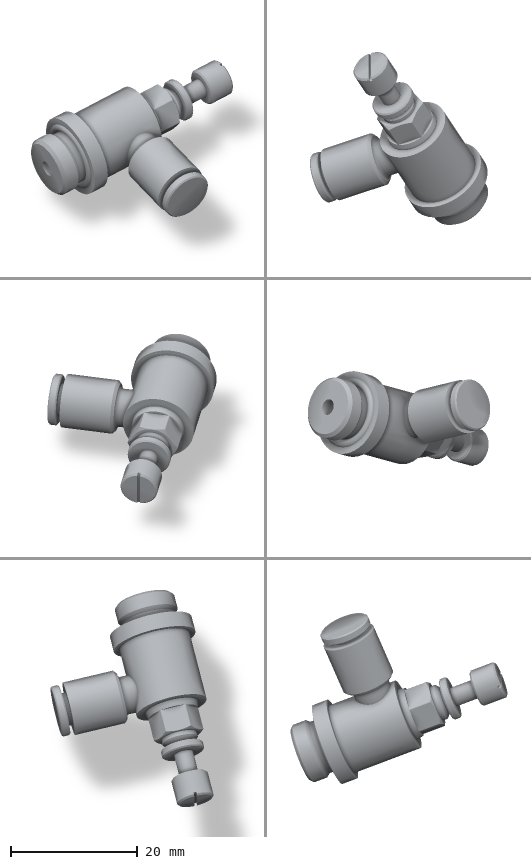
import cadquery as cq
import math


thread_radius = 4.85
thread_neck_radius = 4.33
thread_chamfer = thread_radius - thread_neck_radius
thread_top = 2.63
thread_neck_start = 3.25
bore_radius = 1.25

flange_bottom = 4.57
flange_top = 7.05
flange_radius = 6.65
seal_outer_radius = 5.6
seal_height = 0.4

body_radius = 5.7
body_top = 18.25
collar_radius = 4.23
collar_rim_height = 0.2
collar_top_radius = 4.02
hex_bottom = 19.3

hex_top = 23.2
hex_across_flats = 7.02
hex_corner_radius = 4.02
hex_turn = 0.8
hex_bevel_radius = 3.48
hex_bevel_angle = 30

shoulder_radius = 2.85
shoulder_top = 23.87
cone_top = 24.52
cone_top_radius = 2.25
neck_radius = 1.98

washer_bottom = 24.82
washer_top = 26.05
washer_radius = 3.4
washer_chamfer = 0.2
stem_radius = 1.55
knob_bottom = 29.85
knob_top = 34.1
knob_radius = 2.95
knob_chamfer = 0.27

slot_width = 0.48
slot_depth = 0.55

port_height = 14.55
port_neck_radius = 3.05
port_fillet = 0.5
port_start = 7.2
port_chamfer = 0.48
port_radius = 4.25
port_end = 15.8
sleeve_neck_radius = 2.63
sleeve_start = 16.5
sleeve_end = 17.85
sleeve_radius = 4.05
sleeve_chamfer = 0.2


def cylinder(radius, start, end):
    """Cylinder on the main axis between two heights."""
    return cq.Workplane("XZ", origin=(0, start, 0)).circle(radius).extrude(start - end)


def turned(profile):
    """Solid turned about the main axis."""
    return profile.close().revolve(360, (0, 0, 0), (0, 1, 0))


def threaded_end():
    seal_mid_radius = (thread_neck_radius + seal_outer_radius) / 2
    profile = (
        cq.Workplane("XY")
        .lineTo(thread_radius - thread_chamfer, 0)
        .lineTo(thread_radius, thread_chamfer)
        .lineTo(thread_radius, thread_top)
        .lineTo(thread_neck_radius, thread_neck_start)
        .lineTo(thread_neck_radius, flange_bottom)
        .threePointArc((seal_mid_radius, flange_bottom - seal_height), (seal_outer_radius, flange_bottom))
        .lineTo(flange_radius, flange_bottom)
        .lineTo(flange_radius, flange_top)
        .lineTo(0, flange_top)
    )
    return turned(profile)


def body():
    profile = (
        cq.Workplane("XY")
        .moveTo(0, flange_top)
        .lineTo(body_radius, flange_top)
        .lineTo(body_radius, body_top)
        .lineTo(collar_radius, body_top)
        .lineTo(collar_radius, body_top + collar_rim_height)
        .lineTo(collar_top_radius, hex_bottom)
        .lineTo(0, hex_bottom)
    )
    return turned(profile)


def hexagon():
    corner_diameter = hex_across_flats / math.cos(math.radians(30))
    prism = (
        cq.Workplane("XZ", origin=(0, hex_bottom, 0))
        .polygon(6, corner_diameter)
        .extrude(hex_bottom - hex_top)
        .rotate((0, 0, 0), (0, 1, 0), hex_turn)
    )
    bevel_drop = (hex_corner_radius - hex_bevel_radius) * math.tan(math.radians(hex_bevel_angle))
    envelope = (
        cq.Workplane("XY")
        .moveTo(0, hex_bottom)
        .lineTo(hex_corner_radius, hex_bottom)
        .lineTo(hex_corner_radius, hex_top - bevel_drop)
        .lineTo(hex_bevel_radius, hex_top)
        .lineTo(0, hex_top)
    )
    return prism.intersect(turned(envelope))


def neck():
    profile = (
        cq.Workplane("XY")
        .moveTo(0, hex_top)
        .lineTo(shoulder_radius, hex_top)
        .lineTo(shoulder_radius, shoulder_top)
        .lineTo(cone_top_radius, cone_top)
        .lineTo(neck_radius, cone_top)
        .lineTo(neck_radius, washer_bottom)
        .lineTo(0, washer_bottom)
    )
    return turned(profile)


def knob():
    head = cylinder(knob_radius, knob_bottom, knob_top).edges().chamfer(knob_chamfer)
    slot_length = 2 * knob_radius
    slot = cq.Workplane("XY", origin=(0, knob_top, 0)).box(slot_width, 2 * slot_depth, slot_length)
    return head.cut(slot)


def side_port():
    fillet_center_offset = port_fillet * (1 - math.sqrt(0.5))
    fillet_start = port_start - port_fillet
    profile = (
        cq.Workplane("XY", origin=(0, port_height, 0))
        .lineTo(0, port_neck_radius)
        .lineTo(fillet_start, port_neck_radius)
        .threePointArc(
            (port_start - fillet_center_offset, port_neck_radius + fillet_center_offset),
            (port_start, port_neck_radius + port_fillet),
        )
        .lineTo(port_start, port_radius - port_chamfer)
        .lineTo(port_start + port_chamfer, port_radius)
        .lineTo(port_end, port_radius)
        .lineTo(port_end, sleeve_neck_radius)
        .lineTo(sleeve_start, sleeve_neck_radius)
        .lineTo(sleeve_start, sleeve_radius - sleeve_chamfer)
        .lineTo(sleeve_start + sleeve_chamfer, sleeve_radius)
        .lineTo(sleeve_end - sleeve_chamfer, sleeve_radius)
        .lineTo(sleeve_end, sleeve_radius - sleeve_chamfer)
        .lineTo(sleeve_end, 0)
        .close()
    )
    return profile.revolve(360, (0, 0, 0), (1, 0, 0))


washer = cylinder(washer_radius, washer_bottom, washer_top).edges().chamfer(washer_chamfer)
stem = cylinder(stem_radius, washer_top, knob_bottom)
bore = cylinder(bore_radius, 0, flange_bottom)

result = threaded_end().cut(bore)
for piece in (body(), hexagon(), neck(), washer, stem, knob(), side_port()):
    result = result.union(piece)